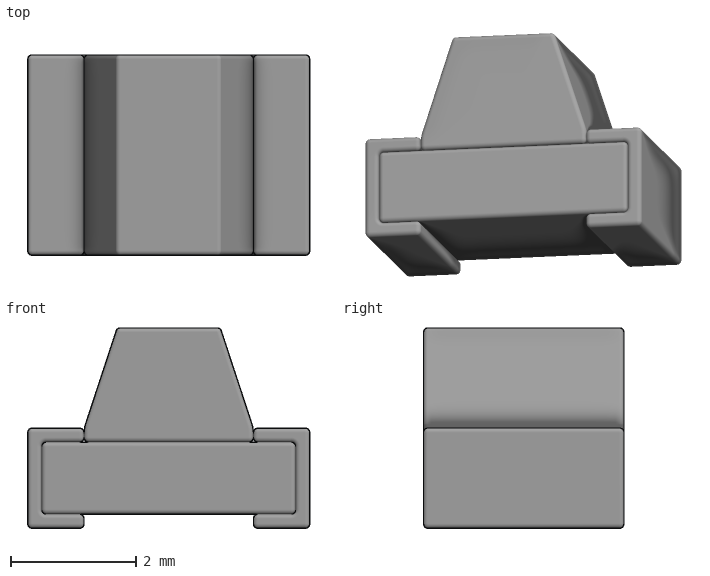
import cadquery as cq

LENGTH = 4.5
WIDTH = 3.2
HEIGHT = 3.2
TERMINAL_LENGTH = 0.9
TERMINAL_HEIGHT = HEIGHT / 2
TERMINAL_WALL = 0.225
CAP_TOP_LENGTH = 1.645
CAP_BEND_RADIUS = 0.44
EDGE_RADIUS = 0.07

CORE_LENGTH = LENGTH - 2 * TERMINAL_WALL
CORE_HEIGHT = TERMINAL_HEIGHT - 2 * TERMINAL_WALL
CORE_TOP = TERMINAL_WALL + CORE_HEIGHT
CAP_BASE_LENGTH = LENGTH - 2 * TERMINAL_LENGTH
CAP_BEND_HEIGHT = TERMINAL_HEIGHT


def make_core():
    """Rounded bar held between the two terminals."""
    return (
        cq.Workplane("XY")
        .box(CORE_LENGTH, WIDTH, CORE_HEIGHT, centered=(True, True, False))
        .translate((0, 0, TERMINAL_WALL))
        .edges()
        .fillet(EDGE_RADIUS)
    )


def make_cap():
    """Block on the core, with short upright flanks that bend into leaning ones."""
    half_base = CAP_BASE_LENGTH / 2
    half_top = CAP_TOP_LENGTH / 2
    block = (
        cq.Workplane("XZ")
        .moveTo(-half_base, CORE_TOP)
        .lineTo(half_base, CORE_TOP)
        .lineTo(half_base, CAP_BEND_HEIGHT)
        .lineTo(half_top, HEIGHT)
        .lineTo(-half_top, HEIGHT)
        .lineTo(-half_base, CAP_BEND_HEIGHT)
        .close()
        .extrude(WIDTH / 2, both=True)
    )
    half_zone = CAP_BEND_RADIUS / 4
    bend_zone = cq.selectors.BoxSelector(
        (-LENGTH, -half_zone, CAP_BEND_HEIGHT - half_zone),
        (LENGTH, half_zone, CAP_BEND_HEIGHT + half_zone),
    )
    blended = block.edges(bend_zone).fillet(CAP_BEND_RADIUS)
    return blended.edges(cq.selectors.InverseSelector(bend_zone)).fillet(EDGE_RADIUS)


def make_terminal(side):
    """C-shaped terminal wrapping one end of the core; side is -1 or +1 along X."""
    inner_end = side * CAP_BASE_LENGTH / 2
    outer_end = side * LENGTH / 2
    wall_face = side * CORE_LENGTH / 2
    profile = (
        cq.Workplane("XZ")
        .moveTo(inner_end, 0)
        .lineTo(outer_end, 0)
        .lineTo(outer_end, TERMINAL_HEIGHT)
        .lineTo(inner_end, TERMINAL_HEIGHT)
        .lineTo(inner_end, CORE_TOP)
        .lineTo(wall_face, CORE_TOP)
        .lineTo(wall_face, TERMINAL_WALL)
        .lineTo(inner_end, TERMINAL_WALL)
        .close()
        .extrude(WIDTH / 2, both=True)
    )
    return profile.edges().fillet(EDGE_RADIUS)


core = make_core()
cap = make_cap()
terminals = [make_terminal(side) for side in (-1, 1)]

bodies = [core, cap, *terminals]
result = cq.Compound.makeCompound([body.solids().val() for body in bodies])